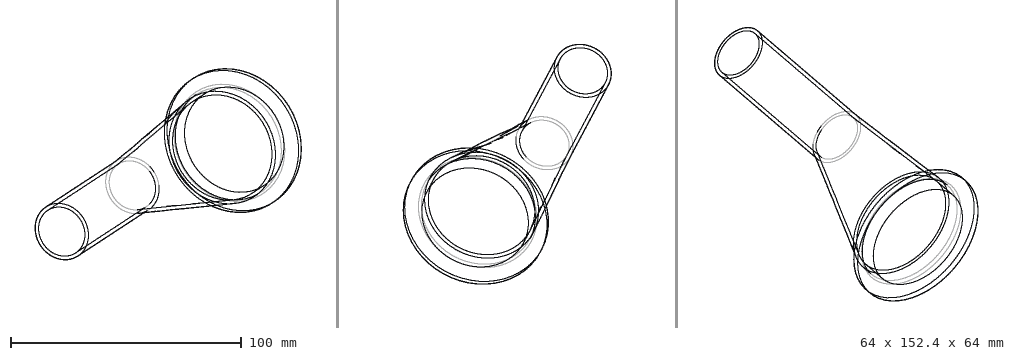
import cadquery as cq
import math

total_length = 152.4
flange_diameter = 64.0
large_diameter = 50.7
small_diameter = 25.5
wall = 1.7

rim_thickness = 2.9
flange_back_angle = math.radians(20)
neck_fillet = 1.5
ferrule_length = 12.5

cone_length = 66.1

flange_radius = flange_diameter / 2
large_radius = large_diameter / 2
small_radius = small_diameter / 2
tube_length = total_length - ferrule_length - cone_length
tube_offset = small_radius - large_radius


def make_ferrule():
    """Clamp ferrule: rim, sloping back and filleted neck, revolved about Y."""
    bore_radius = large_radius - wall
    fillet_center_x = large_radius + neck_fillet
    slope_end_x = fillet_center_x - neck_fillet * math.sin(flange_back_angle)
    slope_end_y = -rim_thickness - (flange_radius - slope_end_x) * math.tan(flange_back_angle)
    fillet_center_y = slope_end_y - neck_fillet * math.cos(flange_back_angle)

    middle_angle = (math.pi / 2 - flange_back_angle) / 2
    fillet_middle = (
        fillet_center_x - neck_fillet * math.cos(middle_angle),
        fillet_center_y + neck_fillet * math.sin(middle_angle),
    )
    return (
        cq.Workplane("XY")
        .moveTo(bore_radius, 0)
        .lineTo(flange_radius, 0)
        .lineTo(flange_radius, -rim_thickness)
        .lineTo(slope_end_x, slope_end_y)
        .threePointArc(fillet_middle, (large_radius, fillet_center_y))
        .lineTo(large_radius, -ferrule_length)
        .lineTo(bore_radius, -ferrule_length)
        .close()
        .revolve(360, (0, 0, 0), (0, 1, 0))
    )


def reducer_form(inset):
    """Solid oblique cone running into a straight tube, with radii reduced by inset."""
    cone = (
        cq.Workplane("XZ", origin=(0, -ferrule_length, 0))
        .circle(large_radius - inset)
        .workplane(offset=cone_length)
        .center(tube_offset, 0)
        .circle(small_radius - inset)
        .loft(ruled=True)
    )
    tube = (
        cq.Workplane("XZ", origin=(tube_offset, -ferrule_length - cone_length, 0))
        .circle(small_radius - inset)
        .extrude(tube_length)
    )
    return cone.union(tube)


def make_reducer():
    """Hollow eccentric reducer with its straight outlet tube."""
    return reducer_form(0).cut(reducer_form(wall)).solids()


ferrule = make_ferrule()
reducer = make_reducer()

result = cq.Compound.makeCompound([ferrule.val(), reducer.val()])